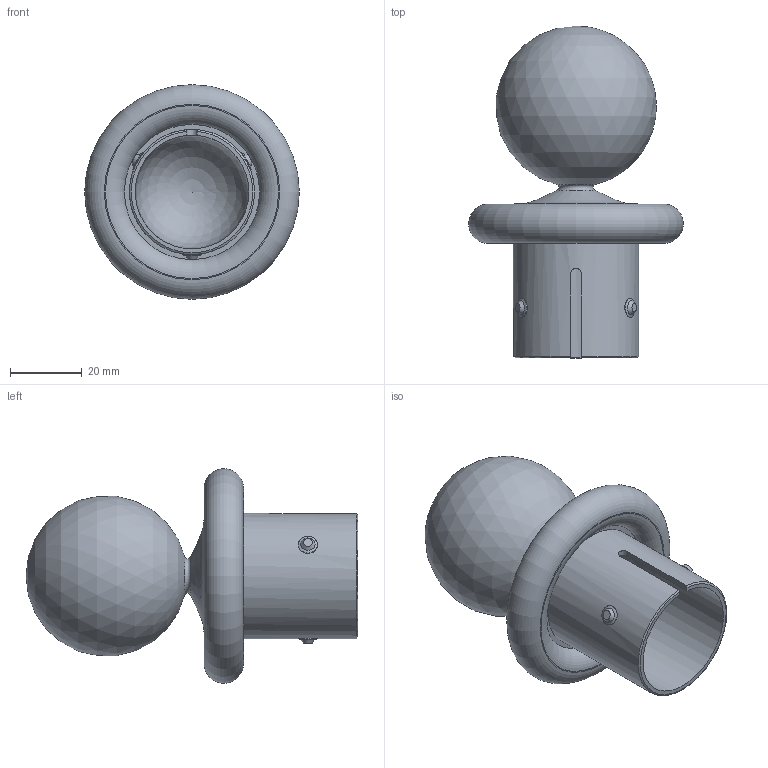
import cadquery as cq
import math

total_length = 92.8
ball_diameter = 45.0
collar_diameter = 60.0
collar_thickness = 11.0
tube_outer_diameter = 35.0
bore_diameter = 31.8
tube_length = 32.0

land_width = 0.3
neck_radius = 4.7
neck_end_radius = 5.2
cone_top_height = 14.9
cone_base_radius = 13.6
cone_fillet_radius = 12.0
groove_depth = 4.0
end_chamfer_radial = 0.5
end_chamfer_axial = 0.3

slot_width = 3.0
slot_length = 25.0

bump_distance_from_end = 14.0
bump_height = 1.3
bump_root_radius = 2.7
bump_neck_radius = 2.0
bump_top_radius = 1.25
bump_root_height = 0.3
bump_embed = 0.8
bump_angles = (30, 150, 270)

ball_radius = ball_diameter / 2
tube_radius = tube_outer_diameter / 2
bore_radius = bore_diameter / 2
ball_center_y = total_length - ball_radius
rim_radius = collar_thickness / 2
rim_center_radius = collar_diameter / 2 - rim_radius
collar_top_y = tube_length + collar_thickness
cone_top_y = tube_length + cone_top_height
neck_end_y = ball_center_y - math.sqrt(ball_radius**2 - neck_end_radius**2)
neck_middle_y = (cone_top_y + neck_end_y) / 2

groove_edge_radius = rim_center_radius - land_width
groove_center_y = tube_length + rim_radius
groove_floor_y = tube_length + groove_depth
groove_end_angle = math.asin((groove_center_y - groove_floor_y) / rim_radius)
groove_mid_angle = (groove_end_angle + math.pi / 2) / 2

cone_angle = math.atan2(cone_top_y - collar_top_y, cone_base_radius - neck_end_radius)
fillet_end_radius = cone_base_radius + cone_fillet_radius * math.tan(cone_angle / 2)
fillet_center_y = collar_top_y + cone_fillet_radius

dome_center_y = collar_top_y - bore_radius


def groove_point(angle):
    """Point (radius, y) on the round side of the groove, at an angle below its centre."""
    return (
        groove_edge_radius - rim_radius * math.cos(angle),
        groove_center_y - rim_radius * math.sin(angle),
    )


def cone_fillet_point(angle):
    """Point (radius, y) on the fillet at the foot of the cone, at a given surface slope."""
    return (
        fillet_end_radius - cone_fillet_radius * math.sin(angle),
        fillet_center_y - cone_fillet_radius * math.cos(angle),
    )


def make_body():
    """Turned tube, collar, cone, waisted neck and ball as one solid of revolution about Y."""
    profile = (
        cq.Workplane("XY")
        .moveTo(0, 0)
        .lineTo(tube_radius - end_chamfer_radial, 0)
        .lineTo(tube_radius, end_chamfer_axial)
        .lineTo(tube_radius, groove_floor_y)
        .lineTo(*groove_point(groove_end_angle))
        .threePointArc(groove_point(groove_mid_angle), (groove_edge_radius, tube_length))
        .lineTo(rim_center_radius, tube_length)
        .threePointArc(
            (collar_diameter / 2, tube_length + rim_radius),
            (rim_center_radius, collar_top_y),
        )
        .lineTo(fillet_end_radius, collar_top_y)
        .threePointArc(cone_fillet_point(cone_angle / 2), cone_fillet_point(cone_angle))
        .lineTo(neck_end_radius, cone_top_y)
        .threePointArc((neck_radius, neck_middle_y), (neck_end_radius, neck_end_y))
        .threePointArc((ball_radius, ball_center_y), (0, total_length))
        .close()
    )
    return profile.revolve(360, (0, 0), (0, 1))


def make_bore():
    """Blind bore with a hemispherical end."""
    profile = (
        cq.Workplane("XY")
        .lineTo(bore_radius, 0)
        .lineTo(bore_radius, dome_center_y)
        .radiusArc((0, dome_center_y + bore_radius), -bore_radius)
        .close()
    )
    return profile.revolve(360, (0, 0), (0, 1))


def make_slot():
    """Slot with a round end, open at the tube end, through the +Z wall only."""
    half_width = slot_width / 2
    straight_end_y = slot_length - half_width
    return (
        cq.Workplane("XY")
        .moveTo(-half_width, 0)
        .lineTo(half_width, 0)
        .lineTo(half_width, straight_end_y)
        .threePointArc((0, slot_length), (-half_width, straight_end_y))
        .close()
        .extrude(tube_radius)
    )


def make_bump(angle):
    """Stepped round bump standing radially on the tube, at an angle from +X towards +Z."""
    base_x = tube_radius - bump_embed
    profile = (
        cq.Workplane("XY")
        .moveTo(base_x, 0)
        .lineTo(base_x, bump_root_radius)
        .lineTo(tube_radius, bump_root_radius)
        .lineTo(tube_radius + bump_root_height, bump_neck_radius)
        .lineTo(tube_radius + bump_height, bump_top_radius)
        .lineTo(tube_radius + bump_height, 0)
        .close()
    )
    bump = profile.revolve(360, (0, 0), (1, 0))
    bump = bump.rotate((0, 0, 0), (0, 1, 0), -angle)
    return bump.translate((0, bump_distance_from_end, 0))


result = make_body().cut(make_bore()).cut(make_slot())
for bump_angle in bump_angles:
    result = result.union(make_bump(bump_angle))